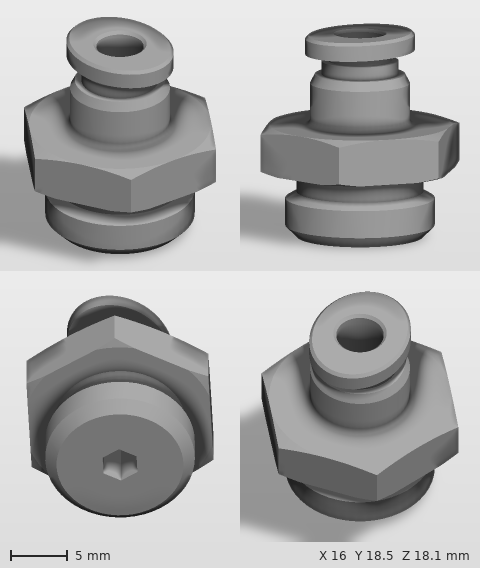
import cadquery as cq
import math

hex_corner_diameter = 18.48
hex_flat_radius = hex_corner_diameter / 2 * math.cos(math.radians(30))
hex_bottom_z = 5.97
hex_top_z = 10.0
hex_bevel_angle = 20.0
hex_bottom_face_radius = 8.43

thread_radius = 6.58
thread_tip_chamfer = 1.0
undercut_radius = thread_radius - thread_tip_chamfer
thread_top_z = 3.42
undercut_bottom_z = 4.0
undercut_top_z = 5.47
flare_radius = 5.82

body_radius = 4.4
body_fillet = 0.5
body_taper_radius = 3.97
body_taper_z = 13.68
body_top_z = 14.49

collar_radius = 3.4
collar_top_z = 15.67
neck_radius = 2.77
button_bottom_z = 16.47
button_top_z = 18.1
button_half_length = 5.4
button_half_width = 4.32
button_chamfer = 0.25

bore_radius = 2.09
bore_chamfer = 0.25
bore_floor_z = hex_bottom_z
socket_across_flats = 3.0


def hex_prism(corner_diameter, bottom_z, top_z):
    """Upright hexagonal prism with two of its corners on the Y axis."""
    return (
        cq.Workplane("XY")
        .workplane(offset=bottom_z)
        .transformed(rotate=(0, 0, 90))
        .polygon(6, corner_diameter)
        .extrude(top_z - bottom_z)
    )


def revolve_half_profile(points):
    """Solid of revolution about Z from (radius, height) points."""
    return cq.Workplane("XZ").polyline(points).close().revolve(360, (0, 0), (0, 1))


def make_flange():
    """Hexagon whose corners are bevelled by shallow cones on both faces."""
    corner_radius = hex_corner_diameter / 2
    slope = math.tan(math.radians(hex_bevel_angle))
    bottom_rise = (corner_radius - hex_bottom_face_radius) * slope
    top_drop = (corner_radius - hex_flat_radius) * slope
    bevel_envelope = revolve_half_profile([
        (0, hex_bottom_z),
        (hex_bottom_face_radius, hex_bottom_z),
        (corner_radius, hex_bottom_z + bottom_rise),
        (corner_radius, hex_top_z - top_drop),
        (hex_flat_radius, hex_top_z),
        (0, hex_top_z),
    ])
    return hex_prism(hex_corner_diameter, hex_bottom_z, hex_top_z).intersect(bevel_envelope)


def make_turned_core():
    """Thread, undercut, filleted body, collar and neck turned as one piece."""
    fillet_foot_radius = body_radius + body_fillet
    fillet_top_z = hex_top_z + body_fillet
    fillet_reach = body_fillet * (1 - math.sqrt(0.5))
    fillet_middle = (body_radius + fillet_reach, hex_top_z + fillet_reach)
    return (
        cq.Workplane("XZ")
        .lineTo(thread_radius - thread_tip_chamfer, 0)
        .lineTo(thread_radius, thread_tip_chamfer)
        .lineTo(thread_radius, thread_top_z)
        .lineTo(undercut_radius, undercut_bottom_z)
        .lineTo(undercut_radius, undercut_top_z)
        .lineTo(flare_radius, hex_bottom_z)
        .lineTo(fillet_foot_radius, hex_top_z)
        .threePointArc(fillet_middle, (body_radius, fillet_top_z))
        .lineTo(body_radius, body_taper_z)
        .lineTo(body_taper_radius, body_top_z)
        .lineTo(collar_radius, body_top_z)
        .lineTo(collar_radius, collar_top_z)
        .lineTo(neck_radius, collar_top_z)
        .lineTo(neck_radius, button_bottom_z)
        .lineTo(0, button_bottom_z)
        .close()
        .revolve(360, (0, 0), (0, 1))
    )


def make_button():
    """Elliptical push button with a chamfered upper rim."""
    return (
        cq.Workplane("XY")
        .workplane(offset=button_bottom_z)
        .ellipse(button_half_length, button_half_width)
        .extrude(button_top_z - button_bottom_z)
        .faces(">Z")
        .edges()
        .chamfer(button_chamfer)
    )


def make_bore():
    """Tube bore from the top, with a chamfered mouth."""
    return revolve_half_profile([
        (0, bore_floor_z),
        (bore_radius, bore_floor_z),
        (bore_radius, button_top_z - bore_chamfer),
        (bore_radius + bore_chamfer, button_top_z),
        (0, button_top_z),
    ])


def make_socket():
    """Hexagonal key socket running from the bore floor out of the thread tip."""
    socket_corner_diameter = socket_across_flats / math.cos(math.radians(30))
    return hex_prism(socket_corner_diameter, 0, bore_floor_z)


fitting = make_turned_core().union(make_flange()).union(make_button())
result = fitting.cut(make_bore()).cut(make_socket())